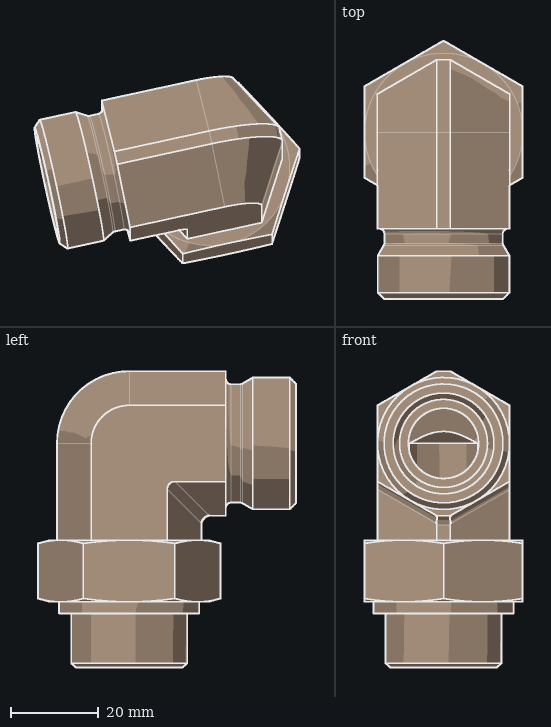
import cadquery as cq
import math

TOTAL_HEIGHT = 67.45
TOLERANCE = 0.01

BLOCK_WIDTH = 30.0
BLOCK_REACH = 16.45
LEG_LENGTH = 22.0
CROTCH_FILLET = 2.0

TUBE_END = 38.0
TUBE_THREAD_D = BLOCK_WIDTH
GROOVE_D = 27.0
GROOVE_LENGTH = 3.5
GROOVE_ROOT_FILLET = 1.15
GROOVE_RAMP_FILLET = 1.0
RAMP_ANGLE = 30.0
TUBE_CHAMFER = 1.5

TUBE_BORE_D = 16.0
SOCKET_D = 20.0
SOCKET_DEPTH = 10.5
MOUTH_D = 22.9
MOUTH_HALF_ANGLE = 12.0
STUD_BORE_D = 15.5
DRILL_TIP_ANGLE = 120.0

STUD_D = 26.45
STUD_TIP_D = 24.15
STUD_CHAMFER_HEIGHT = 1.0
STUD_END = TOTAL_HEIGHT - BLOCK_REACH

NUT_WIDTH = 36.0
NUT_HEIGHT = 14.0
NUT_CHAMFER_ANGLE = 15.0
COLLAR_D = 32.0
COLLAR_HEIGHT = 2.75
COLLAR_CHAMFER = 0.2


def tan_deg(angle):
    return math.tan(math.radians(angle))


def half_section():
    """Points of the upper half of the leg section, as (x, distance from the leg axis)."""
    half_width = BLOCK_WIDTH / 2
    corner = half_width * tan_deg(30)
    flat_half = (2 * corner - BLOCK_REACH) / tan_deg(30)
    return [(half_width, corner), (flat_half, BLOCK_REACH), (-flat_half, BLOCK_REACH), (-half_width, corner)]


def make_block():
    upper = half_section()
    lower = [(-x, -r) for x, r in upper]
    stud_leg = cq.Workplane("XY").polyline(upper + lower).close().extrude(-LEG_LENGTH)
    tube_leg = cq.Workplane("XZ").polyline(upper + lower).close().extrude(LEG_LENGTH)
    half_width = BLOCK_WIDTH / 2
    bend_section = [(half_width, 0)] + upper + [(-half_width, 0)]
    bend = (
        cq.Workplane("XY").polyline(bend_section).close()
        .revolve(90, (0, 0, 0), (1, 0, 0))
    )
    block = stud_leg.union(tube_leg).union(bend).clean()
    crotch = [
        edge for edge in block.edges().vals()
        if abs(edge.Center().y - edge.Center().z) < TOLERANCE and edge.Center().y < -TOLERANCE
    ]
    return block.newObject(crotch).fillet(CROTCH_FILLET)


def revolve_on_tube_axis(outline):
    """Turn a closed outline, drawn in the XY plane, about the Y axis."""
    return outline.close().revolve(360, (0, 0, 0), (0, 1, 0))


def make_tube_connection():
    groove_r = GROOVE_D / 2
    thread_r = TUBE_THREAD_D / 2
    groove_end = LEG_LENGTH + GROOVE_LENGTH
    ramp_end = groove_end + (thread_r - groove_r) / tan_deg(RAMP_ANGLE)
    tangent = GROOVE_RAMP_FILLET * tan_deg(RAMP_ANGLE / 2)
    ramp_angle = math.radians(RAMP_ANGLE)
    fillet_end = (
        groove_r + tangent * math.sin(ramp_angle),
        -groove_end - tangent * math.cos(ramp_angle),
    )
    outline = (
        cq.Workplane("XY").moveTo(0, -LEG_LENGTH)
        .lineTo(groove_r + GROOVE_ROOT_FILLET, -LEG_LENGTH)
        .radiusArc((groove_r, -LEG_LENGTH - GROOVE_ROOT_FILLET), -GROOVE_ROOT_FILLET)
        .lineTo(groove_r, -groove_end + tangent)
        .radiusArc(fillet_end, -GROOVE_RAMP_FILLET)
        .lineTo(thread_r, -ramp_end)
        .lineTo(thread_r, -TUBE_END + TUBE_CHAMFER)
        .lineTo(thread_r - TUBE_CHAMFER, -TUBE_END)
        .lineTo(0, -TUBE_END)
    )
    return revolve_on_tube_axis(outline)


def make_tube_passage():
    bore_r = TUBE_BORE_D / 2
    socket_r = SOCKET_D / 2
    mouth_r = MOUTH_D / 2
    mouth_depth = (mouth_r - socket_r) / tan_deg(MOUTH_HALF_ANGLE)
    outline = cq.Workplane("XY").polyline([
        (0, bore_r / tan_deg(DRILL_TIP_ANGLE / 2)),
        (bore_r, 0),
        (bore_r, -TUBE_END + SOCKET_DEPTH),
        (socket_r, -TUBE_END + SOCKET_DEPTH),
        (socket_r, -TUBE_END + mouth_depth),
        (mouth_r, -TUBE_END),
        (0, -TUBE_END),
    ])
    return revolve_on_tube_axis(outline)


def make_stud_passage():
    bore_r = STUD_BORE_D / 2
    outline = [
        (0, bore_r / tan_deg(DRILL_TIP_ANGLE / 2)),
        (bore_r, 0),
        (bore_r, -STUD_END),
        (0, -STUD_END),
    ]
    return cq.Workplane("YZ").polyline(outline).close().revolve(360, (0, 0, 0), (0, 1, 0))


def make_stud():
    outline = [
        (0, -LEG_LENGTH),
        (STUD_D / 2, -LEG_LENGTH),
        (STUD_D / 2, -STUD_END + STUD_CHAMFER_HEIGHT),
        (STUD_TIP_D / 2, -STUD_END),
        (0, -STUD_END),
    ]
    return cq.Workplane("XZ").polyline(outline).close().revolve(360, (0, 0, 0), (0, 1, 0))


def make_elbow():
    solid = make_block().union(make_tube_connection()).union(make_stud())
    return solid.cut(make_tube_passage()).cut(make_stud_passage())


def make_nut():
    """Hexagonal nut with chamfered ends, a collar below and a plain bore around the stud."""
    top = -LEG_LENGTH
    bottom = top - NUT_HEIGHT
    flat_r = NUT_WIDTH / 2
    corner_r = flat_r / math.cos(math.radians(30))
    corner_drop = (corner_r - flat_r) * tan_deg(NUT_CHAMFER_ANGLE)
    hexagon = (
        cq.Workplane("XY").workplane(offset=bottom)
        .transformed(rotate=(0, 0, 90)).polygon(6, 2 * corner_r).extrude(NUT_HEIGHT)
    )
    chamfer_outline = [
        (0, bottom),
        (flat_r, bottom),
        (corner_r, bottom + corner_drop),
        (corner_r, top - corner_drop),
        (flat_r, top),
        (0, top),
    ]
    envelope = cq.Workplane("XZ").polyline(chamfer_outline).close().revolve(360, (0, 0, 0), (0, 1, 0))
    collar = (
        cq.Workplane("XY").workplane(offset=bottom).circle(COLLAR_D / 2).extrude(-COLLAR_HEIGHT)
        .faces("<Z").chamfer(COLLAR_CHAMFER)
    )
    bore = cq.Workplane("XY").workplane(offset=top).circle(STUD_D / 2).extrude(-NUT_HEIGHT - COLLAR_HEIGHT)
    return hexagon.intersect(envelope).union(collar).cut(bore)


elbow = make_elbow()
nut = make_nut()

result = cq.Compound.makeCompound([elbow.solids().val(), nut.solids().val()])